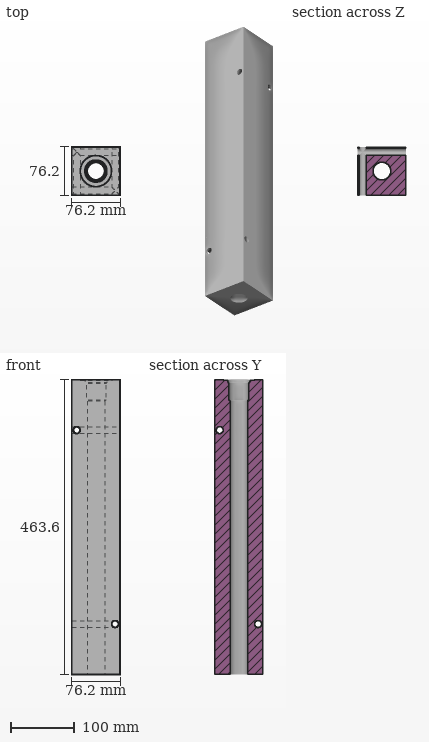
import cadquery as cq
import math

bar_side = 76.2
bar_length = 463.55

spot_face_diameter = 49.0
spot_face_depth = 1.0
seal_cone_mouth_diameter = 34.8
seal_cone_base_diameter = 33.4
seal_cone_depth = 3.3
thread_bore_diameter = 30.6
thread_bore_depth = 31.0
drill_point_angle = 118.0

bore_diameter = 27.2

mount_hole_diameter = 10.3
mount_hole_edge_distance = 7.94
mount_hole_end_distance = 79.4

mount_hole_offset = bar_side / 2 - mount_hole_edge_distance
upper_hole_height = bar_length - mount_hole_end_distance
lower_hole_height = mount_hole_end_distance


def make_bar():
    return cq.Workplane("XY").box(bar_side, bar_side, bar_length, centered=(True, True, False))


def make_port_and_bore():
    """Solid of revolution removed along the bar's axis."""
    spot_face_level = bar_length - spot_face_depth
    cone_base_level = spot_face_level - seal_cone_depth

    lead_in_depth = (seal_cone_base_diameter - thread_bore_diameter) / 2
    thread_top_level = cone_base_level - lead_in_depth

    thread_bottom_level = spot_face_level - thread_bore_depth
    bore_step = (thread_bore_diameter - bore_diameter) / 2
    drill_point_depth = bore_step / math.tan(math.radians(drill_point_angle / 2))
    bore_top_level = thread_bottom_level - drill_point_depth

    half_profile = [
        (0, 0),
        (bore_diameter / 2, 0),
        (bore_diameter / 2, bore_top_level),
        (thread_bore_diameter / 2, thread_bottom_level),
        (thread_bore_diameter / 2, thread_top_level),
        (seal_cone_base_diameter / 2, cone_base_level),
        (seal_cone_mouth_diameter / 2, spot_face_level),
        (spot_face_diameter / 2, spot_face_level),
        (spot_face_diameter / 2, bar_length),
        (0, bar_length),
    ]
    return cq.Workplane("XZ").polyline(half_profile).close().revolve(360, (0, 0), (0, 1))


def make_mount_holes(plane, upper_side):
    """Two diagonally opposite cross holes; upper_side is the sign of the upper hole's offset."""
    centres = [
        (upper_side * mount_hole_offset, upper_hole_height),
        (-upper_side * mount_hole_offset, lower_hole_height),
    ]
    hole_sketch = cq.Workplane(plane).pushPoints(centres).circle(mount_hole_diameter / 2)
    return hole_sketch.extrude(bar_side, both=True)


holes_along_y = make_mount_holes("XZ", upper_side=-1)
holes_along_x = make_mount_holes("YZ", upper_side=1)

result = make_bar().cut(make_port_and_bore()).cut(holes_along_y).cut(holes_along_x)